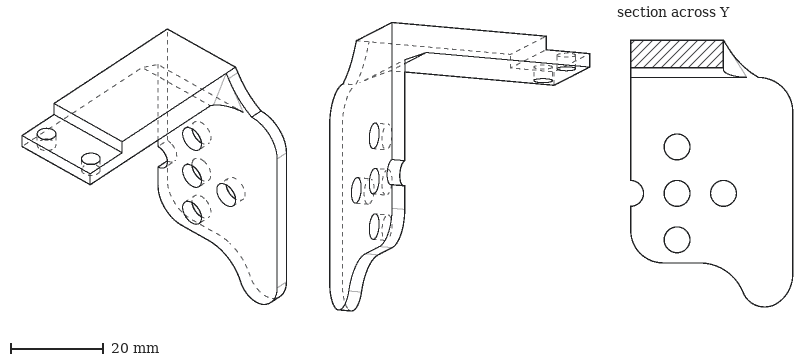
import cadquery as cq
import math

thickness = 3.0
plate_width = 35.0
height = 57.5
corner_radius = 7.5
lower_corner_radius = 7.0
lower_edge_z = 9.5

arm_width = 20.0
arm_depth = 2 * thickness
arm_reach = 46.2
arm_end_y = thickness - arm_reach
tip_length = 10.2
tip_z = height - thickness
arm_bottom_z = height - arm_depth

gusset_reach = 5.0
gusset_drop = 2.0
shoulder_z = arm_bottom_z - gusset_drop

shoulder_start = (20.7, 56.4)
shoulder_middle = (23.65, 52.5)
shoulder_end = (plate_width - corner_radius, shoulder_z)

foot_radius = 5.0
foot_center_x = 28.9
sweep_radius = 10.0

plate_hole_diameter = 5.5
plate_hole_pitch = arm_width / 2
plate_hole_z = 24.5
arm_hole_diameter = 4.0
arm_hole_spacing = 13.0
arm_hole_end_distance = 4.0


def point_on_circle(center, radius, angle):
    return (center[0] + radius * math.cos(angle), center[1] + radius * math.sin(angle))


def make_plate():
    """Plate outline of lines and arcs; the arcs of the foot are tangent to each other."""
    sweep_z = lower_edge_z - sweep_radius
    sweep_run = math.sqrt((sweep_radius + foot_radius) ** 2 - (foot_radius - sweep_z) ** 2)
    sweep = (foot_center_x - sweep_run, sweep_z)
    sweep_angle = math.atan2(foot_radius - sweep_z, sweep_run)
    sweep_middle = point_on_circle(sweep, sweep_radius, (math.pi / 2 + sweep_angle) / 2)
    foot_start = point_on_circle(sweep, sweep_radius, sweep_angle)

    side_x = plate_width - corner_radius
    side_rise = math.sqrt((corner_radius - foot_radius) ** 2 - (foot_center_x - side_x) ** 2)
    side = (side_x, foot_radius + side_rise)
    side_angle = math.atan2(-side_rise, foot_center_x - side_x)
    foot_end = point_on_circle(side, corner_radius, side_angle)
    side_middle = point_on_circle(side, corner_radius, side_angle / 2)

    upper = (side_x, shoulder_z - corner_radius)
    lower = (lower_corner_radius, lower_edge_z + lower_corner_radius)
    outline = (
        cq.Workplane("XZ")
        .moveTo(0, height)
        .lineTo(arm_width, height)
        .lineTo(*shoulder_start)
        .threePointArc(shoulder_middle, shoulder_end)
        .threePointArc(point_on_circle(upper, corner_radius, math.pi / 4), (plate_width, upper[1]))
        .lineTo(plate_width, side[1])
        .threePointArc(side_middle, foot_end)
        .threePointArc((foot_center_x, 0), foot_start)
        .threePointArc(sweep_middle, (sweep[0], lower_edge_z))
        .lineTo(lower_corner_radius, lower_edge_z)
        .threePointArc(point_on_circle(lower, lower_corner_radius, 1.25 * math.pi), (0, lower[1]))
        .close()
    )
    return outline.extrude(-thickness)


def make_arm():
    """Stepped arm with its gusset, as one side profile across the arm width."""
    step_y = arm_end_y + tip_length
    profile = [
        (thickness, height),
        (step_y, height),
        (step_y, tip_z),
        (arm_end_y, tip_z),
        (arm_end_y, arm_bottom_z),
        (-gusset_reach, arm_bottom_z),
        (0, shoulder_z),
        (thickness, shoulder_z),
    ]
    return cq.Workplane("YZ").polyline(profile).close().extrude(arm_width)


def make_corner_fillet():
    """Fillet between arm and plate, growing from nothing at the top to full size below.

    A square pyramid fills the corner, and an oblique cone with the same apex hollows it.
    """
    near_apex = 0.0005

    def corner_square(size, z):
        return cq.Workplane("XY", origin=(arm_width, 0, z)).rect(size, -size, centered=False).wires().val()

    def hollow_circle(radius, z):
        center = cq.Vector(arm_width + radius, -radius, z)
        return cq.Wire.makeCircle(radius, center, cq.Vector(0, 0, 1))

    pyramid = cq.Solid.makeLoft(
        [corner_square(gusset_reach, shoulder_z), corner_square(near_apex, height)], True
    )
    cone = cq.Solid.makeLoft(
        [hollow_circle(gusset_reach, shoulder_z), hollow_circle(near_apex, height)], True
    )
    corner = cq.Workplane(obj=pyramid).cut(cq.Workplane(obj=cone)).solids("<X").val()
    slope = (
        cq.Workplane("YZ", origin=(arm_width, 0, 0))
        .polyline([(0, shoulder_z), (-gusset_reach, arm_bottom_z), (-gusset_reach, height), (0, height)])
        .close()
        .extrude(gusset_reach)
    )
    return cq.Workplane(obj=corner).intersect(slope)


def make_plate_holes():
    """Cross of holes; the leftmost one opens through the plate's edge as a notch."""
    offsets = [(0, 0), (-1, 0), (1, 0), (0, -1), (0, 1)]
    centers = [
        (arm_width / 2 + i * plate_hole_pitch, plate_hole_z + j * plate_hole_pitch) for i, j in offsets
    ]
    return cq.Workplane("XZ").pushPoints(centers).circle(plate_hole_diameter / 2).extrude(-thickness)


def make_arm_holes():
    hole_y = arm_end_y + arm_hole_end_distance
    centers = [(arm_width / 2 + side * arm_hole_spacing / 2, hole_y) for side in (-1, 1)]
    return (
        cq.Workplane("XY", origin=(0, 0, arm_bottom_z))
        .pushPoints(centers)
        .circle(arm_hole_diameter / 2)
        .extrude(thickness)
    )


result = make_plate().union(make_arm()).union(make_corner_fillet())
result = result.cut(make_plate_holes()).cut(make_arm_holes())